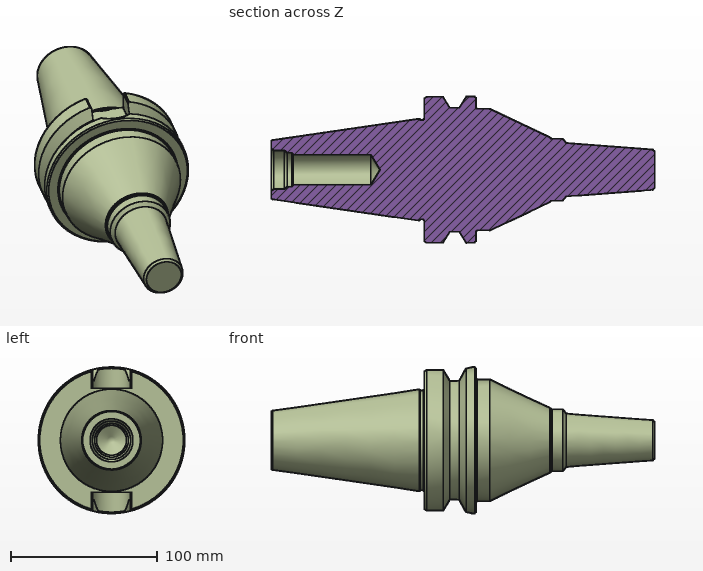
import cadquery as cq
import math

length = 261.8

taper_ratio = 7 / 24
shank_small_radius = 20.2
shank_end_break = 1.0
shank_length = 101.0
relief_depth = 0.8

flange_start = 104.5
flange_end = 139.8
flange_radius = 50.0
flange_front_chamfer_length = 1.5
flange_front_chamfer_depth = 1.0
flange_rear_chamfer = 1.0
groove_start = 117.3
groove_floor_start = 122.0
groove_floor_end = 128.3
groove_end = 133.0
groove_radius = 42.5

corner_bevel = 0.8

slot_half_width = 12.8
slot_end = 136.1
slot_floor = 35.3
slot_edge_chamfer = 1.0

neck_radius = 41.5
neck_end = 149.2
cone_end = 190.0
cone_end_radius = 22.3
cone_end_step = 0.8

collar_start = 191.6
collar_end = 199.0
collar_radius = 21.2
collar_shoulder = 200.0
collar_shoulder_radius = 20.0

nose_start = 201.3
nose_start_radius = 18.3
nose_tip_radius = 14.0
nose_tip_chamfer = 1.5

bore_mouth_radius = 14.7
bore_guide_start = 1.8
bore_guide_radius = 13.0
bore_guide_end = 9.2
bore_undercut_start = 11.0
bore_undercut_radius = 11.5
bore_undercut_end = 14.1
bore_thread_start = 15.2
bore_thread_radius = 10.2
bore_depth = 68.0
drill_point_angle = 118.0


def revolve_about_x(points):
    """Turn a closed (x, radius) outline about the X axis."""
    return cq.Workplane("XY").polyline(points).close().revolve(360, (0, 0, 0), (1, 0, 0))


def make_body():
    shank_large_radius = shank_small_radius + shank_length * taper_ratio / 2
    relief_radius = shank_large_radius - relief_depth
    return revolve_about_x([
        (0, 0),
        (0, shank_small_radius - shank_end_break / 2),
        (shank_end_break, shank_small_radius + shank_end_break * taper_ratio / 2),
        (shank_length, shank_large_radius),
        (shank_length + relief_depth, relief_radius),
        (flange_start - corner_bevel, relief_radius),
        (flange_start, relief_radius + corner_bevel),
        (flange_start, flange_radius - flange_front_chamfer_depth),
        (flange_start + flange_front_chamfer_length, flange_radius),
        (groove_start, flange_radius),
        (groove_floor_start, groove_radius),
        (groove_floor_end, groove_radius),
        (groove_end, flange_radius),
        (flange_end - flange_rear_chamfer, flange_radius),
        (flange_end, flange_radius - flange_rear_chamfer),
        (flange_end, neck_radius + corner_bevel),
        (flange_end + corner_bevel, neck_radius),
        (neck_end, neck_radius),
        (cone_end, cone_end_radius),
        (cone_end + cone_end_step, cone_end_radius - cone_end_step),
        (collar_start, collar_radius),
        (collar_end, collar_radius),
        (collar_shoulder, collar_shoulder_radius),
        (nose_start, nose_start_radius),
        (length - nose_tip_chamfer, nose_tip_radius),
        (length, nose_tip_radius - nose_tip_chamfer),
        (length, 0),
    ])


def make_bore():
    point_length = bore_thread_radius / math.tan(math.radians(drill_point_angle / 2))
    return revolve_about_x([
        (0, 0),
        (0, bore_mouth_radius),
        (bore_guide_start, bore_guide_radius),
        (bore_guide_end, bore_guide_radius),
        (bore_undercut_start, bore_undercut_radius),
        (bore_undercut_end, bore_undercut_radius),
        (bore_thread_start, bore_thread_radius),
        (bore_depth, bore_thread_radius),
        (bore_depth + point_length, 0),
    ])


def make_slot():
    """Tool for the +Z drive slot: round-ended, and running out past the flange face toward -X."""
    open_end = shank_length
    arc_center = slot_end - slot_half_width
    return (
        cq.Workplane("XY", origin=(0, 0, slot_floor))
        .moveTo(open_end, -slot_half_width)
        .lineTo(arc_center, -slot_half_width)
        .threePointArc((slot_end, 0), (arc_center, slot_half_width))
        .lineTo(open_end, slot_half_width)
        .close()
        .extrude(flange_radius)
    )


def break_slot_edges(part, side):
    """Chamfer one slot where it opens on the front land and at its round end; side is +1 or -1 along Z."""
    gap = slot_edge_chamfer / 4
    low_z = side * (slot_floor + gap)
    high_z = side * flange_radius
    boxes = [((groove_end, -gap, low_z), (slot_end, gap, high_z))]
    for wall_y in (-slot_half_width, slot_half_width):
        boxes.append((
            (flange_start - gap, wall_y - gap, low_z),
            (groove_start, wall_y + gap, high_z),
        ))
    edges = []
    for corner, opposite_corner in boxes:
        edges += part.edges(cq.selectors.BoxSelector(corner, opposite_corner)).vals()
    return part.newObject(edges).chamfer(slot_edge_chamfer)


upper_slot = make_slot()
lower_slot = upper_slot.mirror("XY")
result = make_body().cut(make_bore()).cut(upper_slot).cut(lower_slot)
for slot_side in (1, -1):
    result = break_slot_edges(result, slot_side)